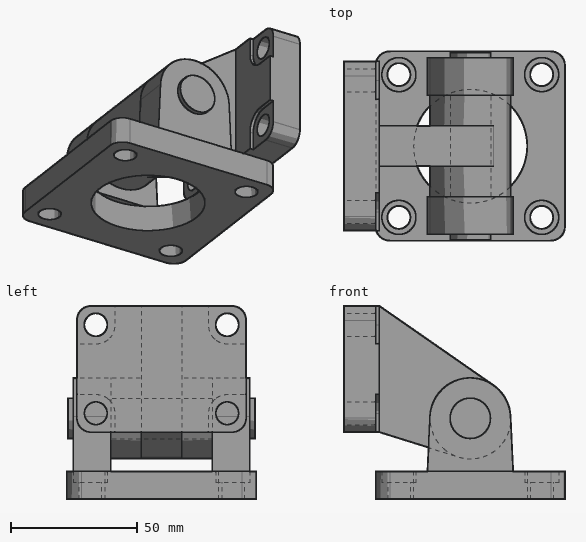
import cadquery as cq
import math

pivot_height = 32.0
pivot_radius = 16.0
pin_diameter = 16.0
pin_length = 74.0
lug_gap = 40.0
lug_outer_width = 70.0
corner_radius = 5.65
bolt_diameter = 9.0

base_size = 75.0
base_thickness = 11.0
base_bolt_spacing = 56.5
counterbore_diameter = 13.5
counterbore_depth = 4.4
center_bore_diameter = 45.0
lug_foot_half_width = 17.0

plate_outer_x = -50.0
plate_inner_x = -36.0
plate_width = 67.0
plate_height = 50.0
plate_bottom = 26.5
plate_top = plate_bottom + plate_height
plate_center_z = plate_bottom + plate_height / 2
plate_bolt_spacing_y = 52.0
plate_bolt_spacing_z = 35.0
seat_radius = 7.5
seat_depth = 1.5
web_thickness = 16.0


def y_cylinder(diameter, length):
    """Cylinder on the pivot axis, centered on Y = 0."""
    plane = cq.Workplane("XZ", origin=(0, 0, pivot_height))
    return plane.circle(diameter / 2).extrude(length / 2, both=True)


def tangent_point(x, z, side):
    """Point where the line from (x, z) touches the pivot circle; side picks the +1 or -1 tangent."""
    rise = z - pivot_height
    direction = math.atan2(rise, x)
    angle = direction + side * math.acos(pivot_radius / math.hypot(x, rise))
    return (pivot_radius * math.cos(angle), pivot_height + pivot_radius * math.sin(angle))


def make_lugs():
    """Pair of tapered lugs with round tops, standing on the base plate."""
    right_x, right_z = tangent_point(lug_foot_half_width, base_thickness, 1)
    profile = (
        cq.Workplane("XZ")
        .moveTo(-lug_foot_half_width, base_thickness)
        .lineTo(lug_foot_half_width, base_thickness)
        .lineTo(right_x, right_z)
        .threePointArc((0, pivot_height + pivot_radius), (-right_x, right_z))
        .close()
    )
    block = profile.extrude(lug_outer_width / 2, both=True)
    gap = cq.Workplane("XY").box(
        2 * lug_foot_half_width, lug_gap, pivot_height + pivot_radius, centered=(True, True, False)
    )
    return block.cut(gap)


def make_clevis():
    """Base plate with two lugs and the pin fixed in them."""
    base = (
        cq.Workplane("XY")
        .rect(base_size, base_size)
        .extrude(base_thickness)
        .edges("|Z")
        .fillet(corner_radius)
        .faces(">Z")
        .workplane()
        .rect(base_bolt_spacing, base_bolt_spacing, forConstruction=True)
        .vertices()
        .cboreHole(bolt_diameter, counterbore_diameter, counterbore_depth)
        .faces(">Z")
        .workplane()
        .hole(center_bore_diameter)
    )
    return base.union(make_lugs()).union(y_cylinder(pin_diameter, pin_length))


def make_corner_seat(side_y, side_z):
    """Relief around a bolt: round toward the plate middle, square toward the plate corner."""
    plane = cq.Workplane("YZ", origin=(plate_inner_x - seat_depth, 0, plate_center_z))
    diagonal = seat_radius / math.sqrt(2)
    reach_y = side_y * seat_radius
    reach_z = side_z * seat_radius
    outline = (
        plane.moveTo(-reach_y, 0)
        .threePointArc((-side_y * diagonal, -side_z * diagonal), (0, -reach_z))
        .lineTo(reach_y, -reach_z)
        .lineTo(reach_y, reach_z)
        .lineTo(-reach_y, reach_z)
        .close()
    )
    return outline.extrude(seat_depth)


def make_hinge_plate():
    """Upright plate with four bolt holes, each in a relief that opens to the plate corner."""
    plate = (
        cq.Workplane("YZ", origin=(plate_outer_x, 0, plate_center_z))
        .rect(plate_width, plate_height)
        .extrude(plate_inner_x - plate_outer_x)
        .edges("|X")
        .fillet(corner_radius)
    )
    for side_y in (-1, 1):
        for side_z in (-1, 1):
            bolt_y = side_y * plate_bolt_spacing_y / 2
            bolt_z = side_z * plate_bolt_spacing_z / 2
            seat = make_corner_seat(side_y, side_z).translate((0, bolt_y, bolt_z))
            plate = plate.cut(seat)
    return (
        plate.faces("<X")
        .workplane(origin=(plate_outer_x, 0, plate_center_z))
        .rect(plate_bolt_spacing_y, plate_bolt_spacing_z, forConstruction=True)
        .vertices()
        .hole(bolt_diameter)
    )


def make_hinge_web():
    """Web that narrows from the plate to the barrel, tangent to it above and below."""
    profile = (
        cq.Workplane("XZ")
        .moveTo(plate_inner_x, plate_bottom)
        .lineTo(*tangent_point(plate_inner_x, plate_bottom, 1))
        .threePointArc(
            (pivot_radius, pivot_height),
            tangent_point(plate_inner_x, plate_top, -1),
        )
        .lineTo(plate_inner_x, plate_top)
        .close()
    )
    return profile.extrude(web_thickness / 2, both=True)


def make_hinge():
    """Plate, web and barrel in one piece, bored for the pin."""
    barrel = y_cylinder(2 * pivot_radius, lug_gap)
    hinge = make_hinge_plate().union(make_hinge_web()).union(barrel)
    return hinge.cut(y_cylinder(pin_diameter, lug_gap))


clevis = make_clevis()
hinge = make_hinge()

result = cq.Compound.makeCompound([clevis.val(), hinge.val()])